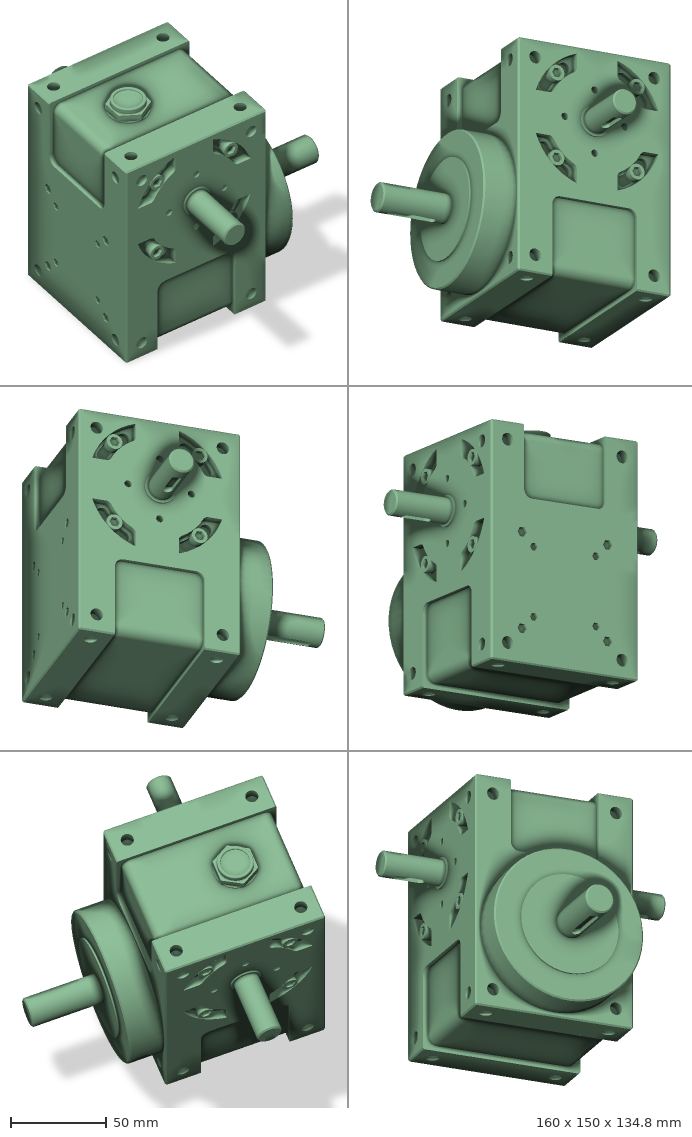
import cadquery as cq
import math


overall_width = 160.0
overall_depth = 150.0

width = 90.0
depth = 90.0
height = 130.0
edge_chamfer = 0.8

recess_width = 50.0
recess_depth = 2.9
recess_radius = 5.0

input_height = 90.0
output_height = 45.0
shaft_chamfer = 0.8
input_diameter = 14.0
input_end = overall_width / 2
input_key_length = 17.6
input_key_margin = 7.0
output_diameter = 16.0
output_length = 40.0
output_key_length = 28.0
output_key_margin = 6.0
key_width = 5.0
key_depth = 3.0

collar_radius = 8.5
collar_height = 1.0

flange_radius = 42.5
flange_thickness = 19.0
flange_boss_radius = 27.7
flange_boss_height = overall_depth - depth - flange_thickness - output_length

mount_diameter = 6.9
mount_depth = 6.4
mount_inset = 10.0

cover_radius = 38.0
cover_offset = -1.5
cover_hole_circle = 17.6
cover_hole_diameter = 4.0
cover_hole_depth = 5.0

pocket_depth = 5.0
pocket_inner_radius = 29.0
pocket_wall_offset = 12.0
pocket_corner_radius = 3.2
slot_radius = 33.5
slot_width = 6.0
slot_half_angle = 14.5
slot_depth = 3.0

screw_head_radius = 4.3
screw_shank_radius = 2.5
socket_depth = 2.5
large_socket_flats = 5.0
small_socket_flats = 4.0
front_outer_screw_circle = 37.0
front_inner_screw_circle = 26.9

plug_y = -12.0
plug_washer_radius = 11.7
plug_washer_height = 0.6
plug_hex_flats = 21.0
plug_hex_top = 1.8
plug_cap_radius = 9.6
plug_cap_top = 4.8
plug_dish_radius = 7.7
plug_dish_depth = 1.0
plug_rim_fillet = 0.6

SCREW_ANGLES = (45, 135, 225, 315)


def hex_corners(flats):
    return flats / math.cos(math.radians(30))


def cylinder(workplane, radius, length):
    return workplane.circle(radius).extrude(length)


def make_recess(drop, span):
    """Recess over a top at Z = 0, running along Y and down both ends by `drop`."""
    core_height = 2 * drop
    profile = (
        cq.Workplane("XY")
        .box(recess_width, span, 2 * drop)
        .edges("|Y and <Z")
        .fillet(recess_radius)
    )
    core = (
        cq.Workplane("XY")
        .box(width, span - 2 * recess_depth, core_height)
        .translate((0, 0, -core_height / 2 - recess_depth))
        .edges("|X and >Z")
        .fillet(recess_radius)
    )
    return profile.cut(core)


def make_housing():
    block = (
        cq.Workplane("XY")
        .box(width, depth, height, centered=(True, True, False))
        .edges()
        .chamfer(edge_chamfer)
    )
    top_recess = make_recess(height - input_height, depth).translate((0, 0, height))
    bottom_recess = (
        make_recess(output_height, width)
        .rotate((0, 0, 0), (1, 0, 0), 180)
        .rotate((0, 0, 0), (0, 0, 1), 90)
    )
    return block.cut(top_recess).cut(bottom_recess)


def make_mount_holes():
    """Four blind holes going into each of the six faces."""
    half_height = height / 2
    faces = (
        ("XZ", (0, -depth / 2, half_height), -mount_depth, width, height),
        ("XZ", (0, depth / 2, half_height), mount_depth, width, height),
        ("YZ", (-width / 2, 0, half_height), mount_depth, depth, height),
        ("YZ", (width / 2, 0, half_height), -mount_depth, depth, height),
        ("XY", (0, 0, 0), mount_depth, width, depth),
        ("XY", (0, 0, height), -mount_depth, width, depth),
    )
    holes = cq.Workplane("XY")
    for plane, origin, length, face_width, face_height in faces:
        face_holes = (
            cq.Workplane(plane, origin=origin)
            .rect(face_width - 2 * mount_inset, face_height - 2 * mount_inset, forConstruction=True)
            .vertices()
            .circle(mount_diameter / 2)
            .extrude(length)
        )
        holes = holes.add(face_holes)
    return holes.combine()


def make_shaft(diameter, length, key_length, key_margin):
    """Shaft from the origin along +Y, with a keyway on its -Z side near the tip."""
    shaft = cylinder(cq.Workplane("XZ"), diameter / 2, -length).faces(">Y").chamfer(shaft_chamfer)
    keyway = (
        cq.Workplane("XY", origin=(0, length - key_margin - key_length / 2, -diameter / 2))
        .slot2D(key_length, key_width, 90)
        .extrude(key_depth)
    )
    return shaft.cut(keyway)


def make_input_shaft():
    """The half of the through shaft that points to -X, with its collar."""
    shaft = make_shaft(input_diameter, input_end, input_key_length, input_key_margin)
    collar = cylinder(cq.Workplane("XZ"), collar_radius, -width / 2 - collar_height)
    return shaft.union(collar).rotate((0, 0, 0), (0, 0, 1), 90).translate((0, 0, input_height))


def make_output():
    """Round flange, boss and shaft on the rear face."""
    boss_face = flange_thickness + flange_boss_height
    flange = cylinder(cq.Workplane("XZ"), flange_radius, -flange_thickness)
    flange = flange.faces(">Y").chamfer(edge_chamfer)
    boss = cylinder(cq.Workplane("XZ"), flange_boss_radius, -boss_face)
    shaft = make_shaft(output_diameter, output_length, output_key_length, output_key_margin)
    shaft = shaft.translate((0, boss_face, 0))
    return flange.union(boss).union(shaft).translate((0, depth / 2, output_height))


def make_pocket():
    """Adjusting pocket with its arc slot, in the +X +Y quadrant of a cover lying on Z = 0."""
    reach = cover_radius - pocket_wall_offset
    corner = pocket_wall_offset + reach / 2
    inner_corners = cq.selectors.BoxSelector(
        (0, 0, 0),
        (pocket_inner_radius, pocket_inner_radius, pocket_depth),
    )
    pocket = (
        cq.Workplane("XY")
        .center(corner, corner)
        .rect(reach, reach)
        .extrude(pocket_depth)
        .cut(cylinder(cq.Workplane("XY"), pocket_inner_radius, pocket_depth))
        .edges("|Z")
        .edges(inner_corners)
        .fillet(pocket_corner_radius)
        .intersect(cylinder(cq.Workplane("XY"), cover_radius, pocket_depth))
    )
    return pocket.union(make_arc_slot())


def make_arc_slot():
    """Slot that follows the screw circle, centred on the 45 degree diagonal."""

    def point(radius, angle):
        return (radius * math.cos(math.radians(angle)), radius * math.sin(math.radians(angle)))

    inner = slot_radius - slot_width / 2
    outer = slot_radius + slot_width / 2
    start = 45 - slot_half_angle
    end = 45 + slot_half_angle
    return (
        cq.Workplane("XY")
        .moveTo(*point(inner, start))
        .threePointArc(point(inner, 45), point(inner, end))
        .tangentArcPoint(point(outer, end), relative=False)
        .threePointArc(point(outer, 45), point(outer, start))
        .tangentArcPoint(point(inner, start), relative=False)
        .close()
        .extrude(pocket_depth + slot_depth)
    )


def make_cap_screw():
    """Socket head screw whose head stands on a pocket floor, its top at Z = 0."""
    return (
        cylinder(cq.Workplane("XY"), screw_head_radius, pocket_depth)
        .union(cylinder(cq.Workplane("XY"), screw_shank_radius, pocket_depth + slot_depth))
        .cut(make_socket(large_socket_flats))
    )


def make_socket(flats):
    return cq.Workplane("XY").polygon(6, hex_corners(flats)).extrude(socket_depth)


def around(shape, radius, angles):
    """Copies of a shape on a circle about Z, all keeping the same orientation."""
    copies = cq.Workplane("XY")
    for angle in angles:
        x = radius * math.cos(math.radians(angle))
        y = radius * math.sin(math.radians(angle))
        copies = copies.add(shape.translate((x, y, 0)))
    return copies.combine()


def onto_input_face(shape, offset=0):
    """Turn a shape sunk along +Z so that it is sunk into the -X face at the input axis."""
    turned = shape.rotate((0, 0, 0), (1, 1, 1), 120)
    return turned.translate((-width / 2, offset, input_height))


def onto_front_face(shape):
    """Turn a shape sunk along +Z so that it is sunk into the front face at the output axis."""
    return shape.rotate((0, 0, 0), (1, 0, 0), -90).translate((0, -depth / 2, output_height))


def make_cover_cuts():
    """Pockets, slots and tapped holes of the cover on the -X face."""
    pockets = cq.Workplane("XY")
    for turn in range(4):
        pockets = pockets.add(make_pocket().rotate((0, 0, 0), (0, 0, 1), 90 * turn))
    hole = cylinder(cq.Workplane("XY"), cover_hole_diameter / 2, cover_hole_depth)
    holes = around(hole, cover_hole_circle, (0, 90, 180, 270))
    return onto_input_face(pockets.combine(), cover_offset).union(onto_input_face(holes))


def make_cover_screws():
    return onto_input_face(around(make_cap_screw(), slot_radius, SCREW_ANGLES), cover_offset)


def make_front_sockets():
    """Hexagon sockets of the two rings of flush screws in the front face."""
    outer = around(make_socket(large_socket_flats), front_outer_screw_circle, SCREW_ANGLES)
    inner = around(make_socket(small_socket_flats), front_inner_screw_circle, SCREW_ANGLES)
    return onto_front_face(outer.union(inner))


def make_plug():
    """Oil plug on the floor of the top recess: washer, hexagon and cap with a rounded rim."""
    floor = -recess_depth
    base = cq.Workplane("XY", origin=(0, 0, floor))
    washer = cylinder(base, plug_washer_radius, plug_washer_height)
    hexagon = base.polygon(6, hex_corners(plug_hex_flats)).extrude(plug_hex_top - floor)
    cap = (
        cylinder(base, plug_cap_radius, plug_cap_top - floor)
        .faces(">Z")
        .workplane()
        .hole(2 * plug_dish_radius, plug_dish_depth)
        .faces(">Z")
        .edges()
        .fillet(plug_rim_fillet)
    )
    return washer.union(hexagon).union(cap).translate((0, plug_y, height))


cover_cuts = make_cover_cuts()
cover_screws = make_cover_screws()
input_shaft = make_input_shaft()

result = (
    make_housing()
    .cut(make_mount_holes())
    .cut(make_front_sockets())
    .cut(cover_cuts)
    .cut(cover_cuts.mirror("YZ"))
    .union(cover_screws)
    .union(cover_screws.mirror("YZ"))
    .union(input_shaft)
    .union(input_shaft.mirror("YZ"))
    .union(make_output())
    .union(make_plug())
)